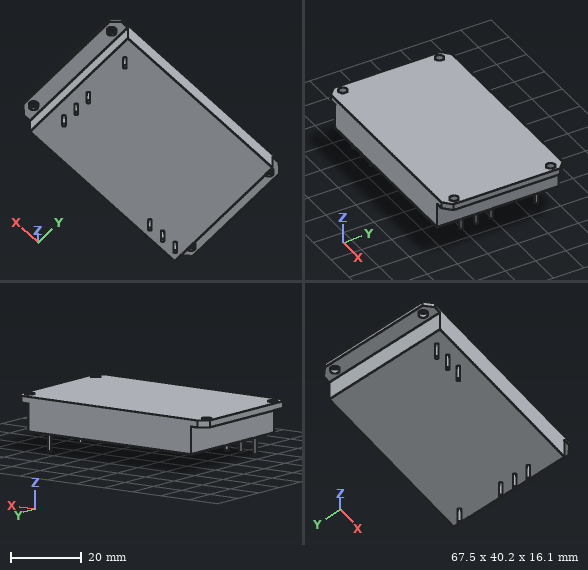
import cadquery as cq

flange_length = 67.5
flange_width = 40.2
flange_thickness = 2.0
corner_cut_x = 2.6
corner_cut_y = 2.4

hole_diameter = 2.7
hole_spacing_x = 62.5
hole_spacing_y = 32.0

body_length = 57.5
body_height = 8.1

pin_diameter = 1.0
pin_length = 6.0
pin_pitch = 5.0
pin_column_x = 25.0
input_row_y = -16.0
input_pin_count = 3
output_pin_count = 3
output_center_y = 0.0
far_pin_steps = 3


def make_flange():
    """Plate with cut corners and four through holes, resting on the body top."""
    half_x = flange_length / 2
    half_y = flange_width / 2
    inner_x = half_x - corner_cut_x
    inner_y = half_y - corner_cut_y
    outline = [
        (-inner_x, -half_y),
        (inner_x, -half_y),
        (half_x, -inner_y),
        (half_x, inner_y),
        (inner_x, half_y),
        (-inner_x, half_y),
        (-half_x, inner_y),
        (-half_x, -inner_y),
    ]
    base_plane = cq.Workplane("XY", origin=(0, 0, body_height))
    plate = base_plane.polyline(outline).close().extrude(flange_thickness)
    return (
        plate.faces(">Z").workplane()
        .rarray(hole_spacing_x, hole_spacing_y, 2, 2)
        .hole(hole_diameter, flange_thickness)
    )


def make_body():
    """Rectangular block with its bottom on Z = 0."""
    return cq.Workplane("XY").box(body_length, flange_width, body_height, centered=(True, True, False))


def make_pins():
    """Input pins in a row along X, output pins in a column along Y at the +X end."""
    input_pins = [(-pin_column_x + i * pin_pitch, input_row_y) for i in range(input_pin_count)]
    output_pins = [(pin_column_x, output_center_y - i * pin_pitch) for i in range(output_pin_count)]
    output_pins.append((pin_column_x, output_center_y + far_pin_steps * pin_pitch))
    pin_centers = cq.Workplane("XY").pushPoints(input_pins + output_pins)
    return pin_centers.circle(pin_diameter / 2).extrude(-pin_length)


result = make_body().union(make_flange()).union(make_pins())